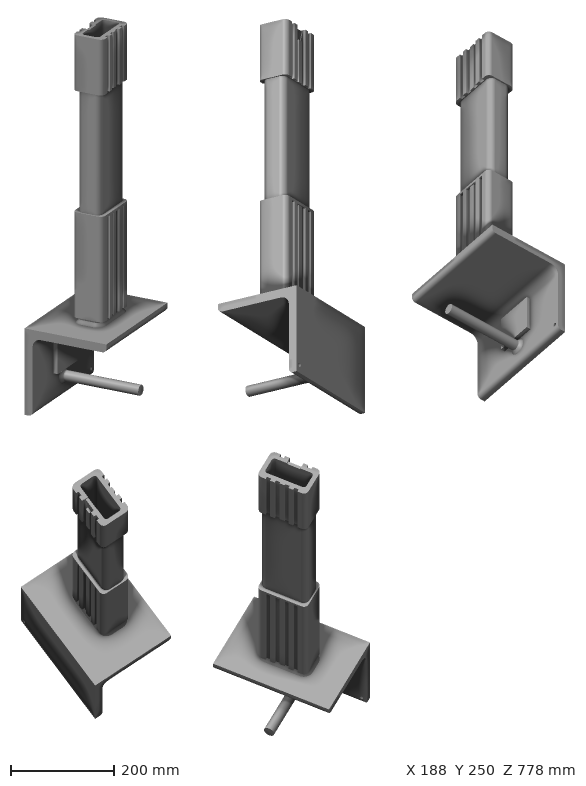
import cadquery as cq
leg_size = 180.0
leg_thickness = 18.0
bracket_length = 250.0
root_radius = leg_thickness
toe_radius = 9.0
vent_diameter = 8.0
vent_inset = 10.0
vent_z = 16.0

overall_height = 778.0
post_x = 100.0
tube_x = 50.5
tube_y = 100.0
tube_wall = 6.0
tube_corner_radius = 12.5
bore_x = tube_x - 2 * tube_wall
bore_y = tube_y - 2 * tube_wall
bore_corner_radius = tube_corner_radius - tube_wall
lip_thickness = 2.0
tube_top = overall_height - lip_thickness

sleeve_x = 66.0
sleeve_y = 106.5
sleeve_corner_radius = 10.0
lower_sleeve_bottom = 190.5
lower_sleeve_top = 410.0
upper_sleeve_bottom = 662.0

groove_width = 9.0
groove_depth = 5.5
groove_offsets = (10.0, 29.5)
middle_rib_drop = 2.0
lower_groove_stop = 5.5

notch_top_width = 29.0
notch_bottom_width = 11.0
notch_depth = 27.0

pin_diameter = 22.0
pin_end_x = 188.0
pin_z = 43.0

tube_weld_leg = 7.0
pin_weld_leg = 6.0

pad_size = 80.0
pad_bottom = 60.0
pad_layer_thicknesses = (2.0, 5.0, 2.0)


def rounded_bar(size_x, size_y, corner_radius, bottom, top, taper=0):
    """Upright bar with rounded corners, centred on the post axis; the taper is in degrees."""
    outline = cq.Sketch().rect(size_x, size_y).vertices().fillet(corner_radius)
    plane = cq.Workplane("XY", origin=(post_x, 0, bottom))
    return plane.placeSketch(outline).extrude(top - bottom, taper=taper)


def tube_envelope(bottom, top):
    return rounded_bar(tube_x, tube_y, tube_corner_radius, bottom, top)


def bore_envelope(bottom, top):
    return rounded_bar(bore_x, bore_y, bore_corner_radius, bottom, top)


def make_bracket():
    profile = (
        cq.Workplane("XZ", origin=(0, bracket_length / 2, 0))
        .lineTo(leg_thickness - toe_radius, 0)
        .radiusArc((leg_thickness, toe_radius), -toe_radius)
        .lineTo(leg_thickness, leg_size - leg_thickness - root_radius)
        .radiusArc((leg_thickness + root_radius, leg_size - leg_thickness), root_radius)
        .lineTo(leg_size - toe_radius, leg_size - leg_thickness)
        .radiusArc((leg_size, leg_size - leg_thickness + toe_radius), -toe_radius)
        .lineTo(leg_size, leg_size)
        .lineTo(0, leg_size)
        .close()
    )
    vent = (
        cq.Workplane("YZ", origin=(0, bracket_length / 2 - vent_inset, vent_z))
        .circle(vent_diameter / 2)
        .extrude(leg_thickness)
    )
    return profile.extrude(bracket_length).cut(vent)


def make_tube():
    return tube_envelope(leg_size, tube_top).cut(bore_envelope(leg_size, tube_top))


def cut_channel(sleeve, face_x, y, width, depth, bottom, top):
    """Cut an upright channel of the given depth into the sleeve face at face_x."""
    channel = cq.Workplane("XY", origin=(face_x, y, bottom)).rect(2 * depth, width)
    return sleeve.cut(channel.extrude(top - bottom))


def grooved_bar(bottom, top, groove_top):
    """Solid sleeve shape with its grooves running from the bottom up to groove_top."""
    bar = rounded_bar(sleeve_x, sleeve_y, sleeve_corner_radius, bottom, top)
    middle_rib_width = 2 * groove_offsets[0]
    for face_x in (post_x - sleeve_x / 2, post_x + sleeve_x / 2):
        bar = cut_channel(bar, face_x, 0, middle_rib_width, middle_rib_drop, bottom, groove_top)
        for offset in groove_offsets:
            for y in (-offset, offset):
                bar = cut_channel(bar, face_x, y, groove_width, groove_depth, bottom, groove_top)
    return bar


def make_lower_sleeve():
    groove_top = lower_sleeve_top - lower_groove_stop
    bar = grooved_bar(lower_sleeve_bottom, lower_sleeve_top, groove_top)
    return bar.cut(tube_envelope(lower_sleeve_bottom, lower_sleeve_top))


def make_upper_sleeve():
    notch = (
        cq.Workplane("YZ", origin=(post_x - sleeve_x / 2, 0, overall_height))
        .moveTo(-notch_top_width / 2, 0)
        .lineTo(-notch_bottom_width / 2, -notch_depth)
        .lineTo(notch_bottom_width / 2, -notch_depth)
        .lineTo(notch_top_width / 2, 0)
        .close()
        .extrude(sleeve_x / 2)
    )
    bar = grooved_bar(upper_sleeve_bottom, overall_height, overall_height)
    sleeve = bar.cut(tube_envelope(upper_sleeve_bottom, tube_top))
    return sleeve.cut(bore_envelope(tube_top, overall_height)).cut(notch)


def make_tube_weld():
    weld_top = leg_size + tube_weld_leg
    bevel = rounded_bar(
        tube_x + 2 * tube_weld_leg,
        tube_y + 2 * tube_weld_leg,
        tube_corner_radius + tube_weld_leg,
        leg_size,
        weld_top,
        taper=45,
    )
    return bevel.cut(tube_envelope(leg_size, weld_top))


def make_pin():
    foot = cq.Workplane("YZ", origin=(leg_thickness, 0, pin_z)).circle(pin_diameter / 2)
    return foot.extrude(pin_end_x - leg_thickness)


def make_pin_weld():
    pin_radius = pin_diameter / 2
    return (
        cq.Workplane("XY", origin=(leg_thickness, 0, pin_z))
        .moveTo(0, pin_radius)
        .lineTo(pin_weld_leg, pin_radius)
        .lineTo(0, pin_radius + pin_weld_leg)
        .close()
        .revolve(360, (0, 0, 0), (1, 0, 0))
    )


def make_pad_layer(face_x, thickness):
    """One layer of the pad, lying against the plane x = face_x."""
    plane = cq.Workplane("YZ", origin=(face_x, 0, pad_bottom + pad_size / 2))
    return plane.rect(pad_size, pad_size).extrude(thickness)


bracket = make_bracket()
tube = make_tube()
lower_sleeve = make_lower_sleeve()
upper_sleeve = make_upper_sleeve()
tube_weld = make_tube_weld()
pin = make_pin()
pin_weld = make_pin_weld()

pad_layers = []
layer_x = leg_thickness
for layer_thickness in pad_layer_thicknesses:
    pad_layers.append(make_pad_layer(layer_x, layer_thickness).val())
    layer_x += layer_thickness

result = cq.Compound.makeCompound([
    bracket.val(),
    tube.val(),
    lower_sleeve.val(),
    upper_sleeve.val(),
    tube_weld.val(),
    pin.val(),
    pin_weld.val(),
    *pad_layers,
])